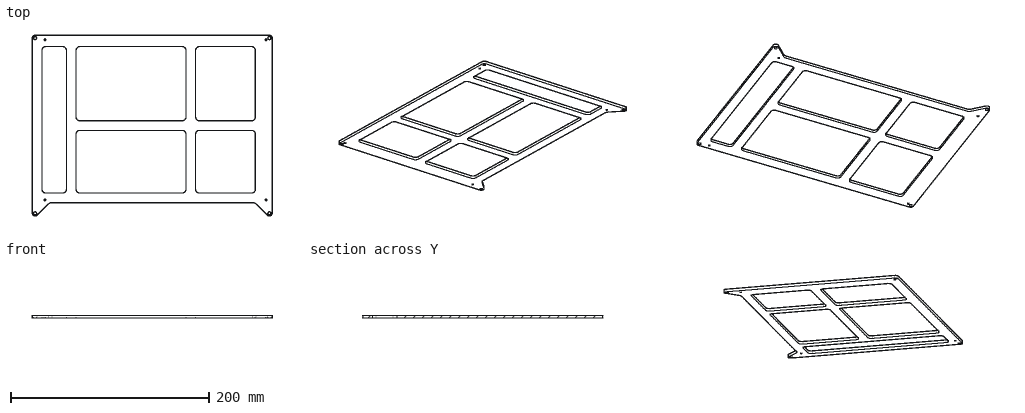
import cadquery as cq
import math

length = 242.0
width = 182.5
thickness = 3.0

lug_radius = 3.0
mount_diameter = 3.0
foot_height = 13.5
foot_bend_radius = 5.0

bar = 10.0
top_bar = 11.5
window_radius = 3.6
slot_width = 24.5
middle_width = 110.5
right_width = 60.0
lower_height = 63.0

pin_diameter = 1.6
pin_left = 12.8
pin_right = length - 6.3
pin_top = width - 4.5
pin_bottom = 16.5


def make_plate():
    """Plate with two feet whose inner 45 degree edges are tangent to the lug rounds."""
    arc_offset = lug_radius * math.sqrt(0.5)
    near = lug_radius - arc_offset
    far = lug_radius + arc_offset
    bend_x = far + foot_height - near
    left_half = (
        cq.Workplane("XY")
        .moveTo(length / 2, width)
        .lineTo(lug_radius, width)
        .threePointArc((near, width - near), (0, width - lug_radius))
        .lineTo(0, lug_radius)
        .threePointArc((near, near), (far, near))
        .lineTo(bend_x, foot_height)
        .lineTo(length / 2, foot_height)
        .close()
        .extrude(thickness)
    )
    bend_edge = cq.selectors.NearestToPointSelector((bend_x, foot_height, thickness / 2))
    left_half = left_half.edges("|Z").edges(bend_edge).fillet(foot_bend_radius)
    right_half = left_half.mirror("YZ", (length / 2, 0, 0))
    return left_half.union(right_half).clean()


def make_window(left, bottom, size_x, size_y):
    """Round-cornered cutter through the plate."""
    return (
        cq.Workplane("XY")
        .box(size_x, size_y, thickness, centered=False)
        .edges("|Z")
        .fillet(window_radius)
        .translate((left, bottom, 0))
    )


def make_holes(points, diameter):
    """Round cutters through the plate at the given points."""
    return cq.Workplane("XY").pushPoints(points).circle(diameter / 2).extrude(thickness)


windows_bottom = foot_height + bar
windows_top = width - top_bar
upper_bottom = windows_bottom + lower_height + bar
middle_left = bar + slot_width + bar
right_left = middle_left + middle_width + bar

result = make_plate()

result = result.cut(make_window(bar, windows_bottom, slot_width, windows_top - windows_bottom))
for left, size_x in ((middle_left, middle_width), (right_left, right_width)):
    result = result.cut(make_window(left, windows_bottom, size_x, lower_height))
    result = result.cut(make_window(left, upper_bottom, size_x, windows_top - upper_bottom))

mount_points = [(x, y) for x in (lug_radius, length - lug_radius) for y in (lug_radius, width - lug_radius)]
pin_points = [(x, y) for x in (pin_left, pin_right) for y in (pin_bottom, pin_top)]
result = result.cut(make_holes(mount_points, mount_diameter))
result = result.cut(make_holes(pin_points, pin_diameter))